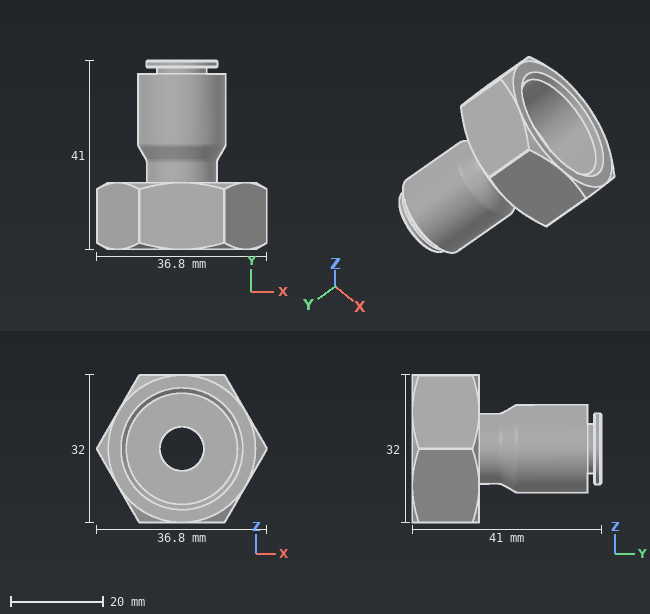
import cadquery as cq
import math


total_length = 41.0
nut_length = 14.5
nut_sides = 6
across_flats = 32.0
across_corners = 36.8
crown_angle = 30.0
crown_face_diameter = 31.9

socket_diameter = 24.1
socket_mouth_diameter = 26.4
socket_mouth_depth = 1.15
socket_depth = 11.5
through_diameter = 9.5

stem_diameter = 15.25
body_diameter = 19.1
body_length = 15.45
shoulder_angle = 30.0
shoulder_fillet = 1.5

collar_diameter = 15.5
collar_thickness = 1.7
collar_chamfer = 0.35
collar_neck_diameter = 10.8
collar_gap = 1.3

collar_start = total_length - collar_thickness
body_end = collar_start - collar_gap
body_start = body_end - body_length
shoulder_length = (body_diameter - stem_diameter) / 2 / math.tan(math.radians(shoulder_angle))
shoulder_start = body_start - shoulder_length


def revolve_profile(points):
    """Turn a closed (radius, Y) outline about the Y axis."""
    return cq.Workplane("XY").polyline(points).close().revolve(360, (0, 0, 0), (0, 1, 0))


def cylinder(diameter, start, end):
    """Solid cylinder on the Y axis between two stations."""
    return cq.Workplane("XZ", origin=(0, start, 0)).circle(diameter / 2).extrude(start - end)


def make_nut():
    """Hexagon with corners on the X axis, crowned at both ends by a cone."""
    sharp_corners = across_flats / math.cos(math.pi / nut_sides)
    hexagon = cq.Workplane("XZ").polygon(nut_sides, sharp_corners).extrude(-nut_length)
    face_radius = crown_face_diameter / 2
    corner_radius = across_corners / 2
    crown_depth = (corner_radius - face_radius) * math.tan(math.radians(crown_angle))
    crown_blank = revolve_profile([
        (0, 0),
        (face_radius, 0),
        (corner_radius, crown_depth),
        (corner_radius, nut_length - crown_depth),
        (face_radius, nut_length),
        (0, nut_length),
    ])
    return hexagon.intersect(crown_blank)


def make_body():
    """Stem, conical shoulder with rounded ends, and cylindrical body."""
    body = revolve_profile([
        (0, socket_depth),
        (stem_diameter / 2, socket_depth),
        (stem_diameter / 2, shoulder_start),
        (body_diameter / 2, body_start),
        (body_diameter / 2, body_end),
        (0, body_end),
    ])
    margin = shoulder_length / 4
    shoulder_zone = cq.selectors.BoxSelector(
        (-body_diameter, shoulder_start - margin, -body_diameter),
        (body_diameter, body_start + margin, body_diameter),
    )
    return body.edges("%CIRCLE").edges(shoulder_zone).fillet(shoulder_fillet)


def make_collar():
    """Flanged release collar with chamfered rims, on a thinner neck."""
    neck = cylinder(collar_neck_diameter, body_end, collar_start)
    flange = cylinder(collar_diameter, collar_start, total_length)
    flange = flange.edges("%CIRCLE").chamfer(collar_chamfer)
    return neck.union(flange)


def make_bore():
    """Socket with a tapered mouth, followed by the through passage."""
    return revolve_profile([
        (0, 0),
        (socket_mouth_diameter / 2, 0),
        (socket_diameter / 2, socket_mouth_depth),
        (socket_diameter / 2, socket_depth),
        (through_diameter / 2, socket_depth),
        (through_diameter / 2, total_length),
        (0, total_length),
    ])


result = make_nut().union(make_body()).union(make_collar()).cut(make_bore())